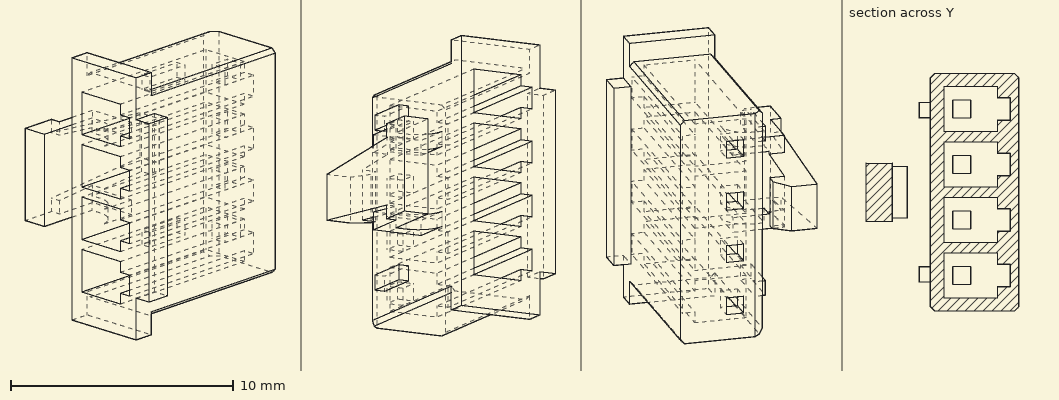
import cadquery as cq


BODY_WIDTH = 4.0
BODY_LENGTH = 9.1
BODY_HEIGHT = 10.7
EDGE_BEVEL = 0.2
END_BEVEL = 0.5
FLANGE_HEIGHT = 12.5
FLANGE_THICKNESS = 1.0
RAIL_WIDTH = 0.8
RAIL_LENGTH = 1.2
RAIL_HEIGHT = 8.5

CAVITY_COUNT = 4
PITCH = 2.5
CAVITY_START = 0.62
CAVITY_WIDTH = 2.4
CAVITY_HEIGHT = 2.02
KEYWAY_WIDTH = 0.58
KEYWAY_HEIGHT = 1.0
WIRE_HOLE_START = 1.02
WIRE_HOLE_SIZE = 0.8
END_WALL = 1.0

LATCH_REACH = 2.9
LEVER_THICKNESS = 1.2
LEVER_HEIGHT = 4.4
LEVER_LENGTH = 7.5
SKIN_THICKNESS = 0.49
TAPER_START = 1.72
TAPER_START_HEIGHT = 3.12
TIP_HEIGHT = 2.12
HOOK_DEPTH = 0.68
HOOK_LENGTH = 1.15
HOOK_TIP_FLAT = 0.45
ARM_START = 3.1
ARM_END = 3.9
ARM_HEIGHT = 0.7
ARM_FILLET = 1.2

NUB_DEPTH = 0.5
NUB_START = 5.1
NUB_LENGTH = 2.3
NUB_HEIGHT = 0.7
NUB_OFFSET = 3.7


def block(x_start, y_start, x_size, y_size, height, z_center=0.0):
    """Box placed by its lowest X and Y, centred on z_center."""
    box = cq.Workplane("XY").box(x_size, y_size, height, centered=(False, False, True))
    return box.translate((x_start, y_start, z_center))


def plan_prism(outline, height, z_center=0.0):
    """Closed XY outline thickened evenly about z_center."""
    return outline.extrude(height / 2, both=True).translate((0, 0, z_center))


def housing():
    half = BODY_HEIGHT / 2
    upper = [
        (0, half - EDGE_BEVEL),
        (EDGE_BEVEL, half),
        (BODY_WIDTH - EDGE_BEVEL, half),
        (BODY_WIDTH, half - EDGE_BEVEL),
    ]
    lower = [(x, -z) for x, z in reversed(upper)]
    section = cq.Workplane("XZ").polyline(upper + lower).close()
    body = section.extrude(-BODY_LENGTH)
    bevel_outline = cq.Workplane("XY").polyline([
        (0, BODY_LENGTH - END_BEVEL),
        (0, BODY_LENGTH),
        (END_BEVEL, BODY_LENGTH),
    ]).close()
    body = body.cut(plan_prism(bevel_outline, BODY_HEIGHT))
    flange = block(0, 0, BODY_WIDTH, FLANGE_THICKNESS, FLANGE_HEIGHT)
    rail = block(BODY_WIDTH, 0, RAIL_WIDTH, RAIL_LENGTH, RAIL_HEIGHT)
    return body.union(flange).union(rail)


def contact_cavity(z_center):
    depth = BODY_LENGTH - END_WALL
    pocket = block(CAVITY_START, 0, CAVITY_WIDTH, depth, CAVITY_HEIGHT, z_center)
    keyway = block(CAVITY_START + CAVITY_WIDTH, 0, KEYWAY_WIDTH, depth, KEYWAY_HEIGHT, z_center)
    wire_hole = block(WIRE_HOLE_START, 0, WIRE_HOLE_SIZE, BODY_LENGTH, WIRE_HOLE_SIZE, z_center)
    return pocket.union(keyway).union(wire_hole)


def latch_lever():
    """Thumb lever with a tapered outer skin and a hook at its free end."""
    outer = -LATCH_REACH
    inner = outer + LEVER_THICKNESS
    hook_tip = inner + HOOK_DEPTH
    hook_start = LEVER_LENGTH - HOOK_LENGTH
    profile = cq.Workplane("XY").polyline([
        (outer, 0),
        (inner, 0),
        (inner, hook_start),
        (hook_tip, hook_start),
        (hook_tip, hook_start + HOOK_TIP_FLAT),
        (inner, LEVER_LENGTH),
        (outer, LEVER_LENGTH),
    ]).close()
    taper = cq.Workplane("YZ", origin=(outer, 0, 0)).polyline([
        (0, -LEVER_HEIGHT / 2),
        (TAPER_START, -LEVER_HEIGHT / 2),
        (TAPER_START, -TAPER_START_HEIGHT / 2),
        (LEVER_LENGTH, -TIP_HEIGHT / 2),
        (LEVER_LENGTH, TIP_HEIGHT / 2),
        (TAPER_START, TAPER_START_HEIGHT / 2),
        (TAPER_START, LEVER_HEIGHT / 2),
        (0, LEVER_HEIGHT / 2),
    ]).close().extrude(LATCH_REACH)
    lever = plan_prism(profile, LEVER_HEIGHT).intersect(taper)
    backing = block(outer + SKIN_THICKNESS, 0, LEVER_THICKNESS - SKIN_THICKNESS, ARM_END, LEVER_HEIGHT)
    return lever.union(backing)


def latch_arm(z_center):
    """Arm from the lever to the housing, with a round underside at the root."""
    inner = LEVER_THICKNESS - LATCH_REACH
    outline = (
        cq.Workplane("XY")
        .moveTo(inner, ARM_END)
        .lineTo(inner, ARM_START)
        .lineTo(-ARM_FILLET, ARM_START)
        .radiusArc((0, ARM_START - ARM_FILLET), ARM_FILLET)
        .lineTo(0, ARM_END)
        .close()
    )
    return plan_prism(outline, ARM_HEIGHT, z_center)


result = housing()
for index in range(CAVITY_COUNT):
    cavity_z = (index - (CAVITY_COUNT - 1) / 2) * PITCH
    result = result.cut(contact_cavity(cavity_z))

result = result.union(latch_lever())
for side in (-1, 1):
    arm_z = side * (LEVER_HEIGHT - ARM_HEIGHT) / 2
    nub = block(-NUB_DEPTH, NUB_START, NUB_DEPTH, NUB_LENGTH, NUB_HEIGHT, side * NUB_OFFSET)
    result = result.union(latch_arm(arm_z)).union(nub)